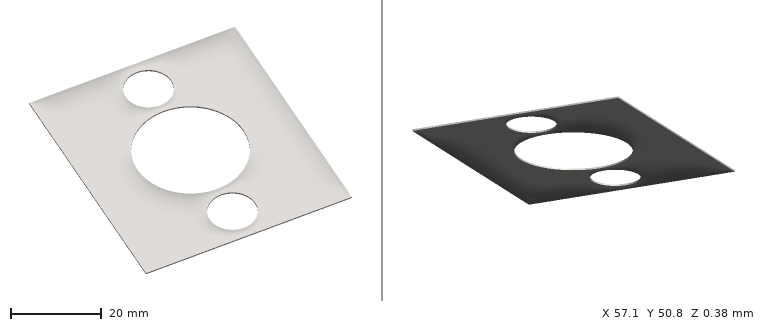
import cadquery as cq

plate_length = 57.15
plate_width = 50.8
plate_thickness = 0.38

center_hole_diameter = 26.2
side_hole_diameter = 11.2
side_hole_spacing = 41.1

plate = cq.Workplane("XY").box(plate_length, plate_width, plate_thickness)

center_hole_plate = plate.faces(">Z").workplane().hole(center_hole_diameter)

result = (
    center_hole_plate.faces(">Z")
    .workplane(origin=(0, 0, 0))
    .pushPoints([(-side_hole_spacing / 2, 0), (side_hole_spacing / 2, 0)])
    .hole(side_hole_diameter)
)